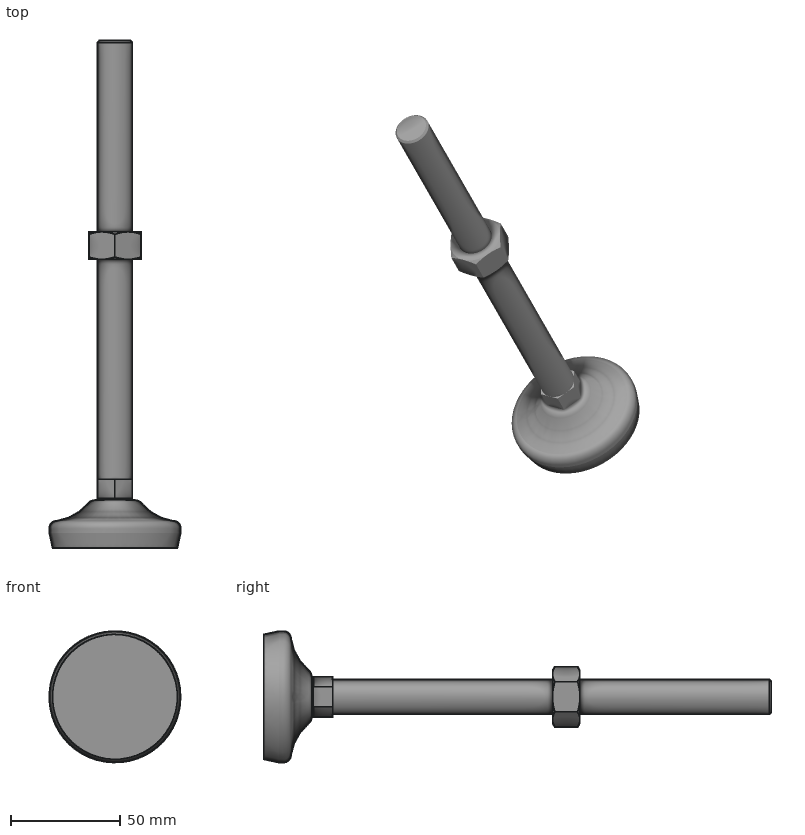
import cadquery as cq
import math

total_length = 232.0

pad_diameter = 60.0
sole_diameter = 57.0
band_bottom = 7.0
band_top = 9.0
shoulder_radius = 3.5
flare_mid_radius = 17.6
flare_mid_height = 15.8
crown_radius = 12.3
crown_start_height = 20.5
pad_top_radius = 9.0
pad_height = 22.0

rod_diameter = 16.0
rod_tip_chamfer = 1.0
neck_diameter = 10.0
wrench_hex_bottom = 22.7
wrench_hex_top = 31.5

nut_across_flats = 24.0
nut_bottom = 132.0
nut_height = 12.5
nut_chamfer_angle = 30.0


def cylinder(diameter, bottom, top):
    """Round bar along Y."""
    return cq.Workplane("XZ", origin=(0, bottom, 0)).circle(diameter / 2).extrude(bottom - top)


def hexagon(across_flats, bottom, top):
    """Hexagonal bar along Y with flats facing +X and -X."""
    corner_radius = across_flats / math.sqrt(3)
    corner_angles = [math.radians(60 * i) for i in range(6)]
    corners = [(corner_radius * math.sin(a), corner_radius * math.cos(a)) for a in corner_angles]
    return cq.Workplane("XZ", origin=(0, bottom, 0)).polyline(corners).close().extrude(bottom - top)


def make_pad():
    """Revolved pad: tapered sole, rounded shoulder, concave flare and rounded crown."""
    rim = pad_diameter / 2
    shoulder_inner = rim - shoulder_radius
    shoulder_top = band_top + shoulder_radius
    shoulder_mid = shoulder_radius * math.sqrt(0.5)
    return (
        cq.Workplane("XY")
        .lineTo(sole_diameter / 2, 0)
        .lineTo(rim, band_bottom)
        .lineTo(rim, band_top)
        .threePointArc((shoulder_inner + shoulder_mid, band_top + shoulder_mid), (shoulder_inner, shoulder_top))
        .threePointArc((flare_mid_radius, flare_mid_height), (crown_radius, crown_start_height))
        .tangentArcPoint((pad_top_radius, pad_height), relative=False)
        .lineTo(0, pad_height)
        .close()
        .revolve(360, (0, 0, 0), (0, 1, 0))
    )


def make_stud():
    """Plain rod with its wrench hexagon and the neck entering the pad."""
    rod = cylinder(rod_diameter, wrench_hex_top, total_length).faces(">Y").chamfer(rod_tip_chamfer)
    wrench_hex = hexagon(rod_diameter, wrench_hex_bottom, wrench_hex_top)
    neck = cylinder(neck_diameter, pad_height, wrench_hex_bottom)
    return rod.union(wrench_hex).union(neck)


def make_nut():
    """Hexagonal nut whose corners are trimmed by a cone at both ends."""
    corner_radius = nut_across_flats / math.sqrt(3)
    chamfer_width = corner_radius - nut_across_flats / 2
    chamfer_depth = chamfer_width * math.tan(math.radians(nut_chamfer_angle))
    nut_top = nut_bottom + nut_height
    trim = (
        cq.Workplane("XY")
        .moveTo(0, nut_bottom)
        .lineTo(corner_radius - chamfer_width, nut_bottom)
        .lineTo(corner_radius, nut_bottom + chamfer_depth)
        .lineTo(corner_radius, nut_top - chamfer_depth)
        .lineTo(corner_radius - chamfer_width, nut_top)
        .lineTo(0, nut_top)
        .close()
        .revolve(360, (0, 0, 0), (0, 1, 0))
    )
    return hexagon(nut_across_flats, nut_bottom, nut_top).intersect(trim)


result = make_pad().union(make_stud()).union(make_nut())